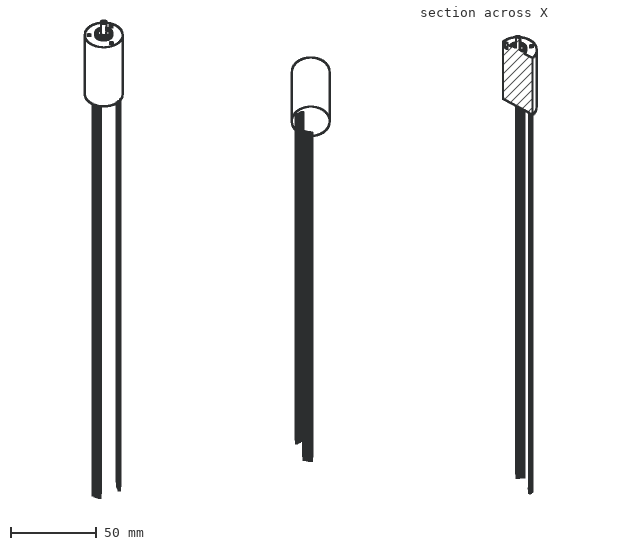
import cadquery as cq
import math

total_length = 357.5
body_diameter = 22.0
body_length = 45.5
shaft_diameter = 3.2
shaft_chamfer = 0.5
shaft_reach = 10.0

pilot_diameter = 10.0
pilot_height = 1.8
pilot_chamfer = 0.5
pilot_recess_diameter = 7.0
pilot_recess_depth = 0.7

hole_count = 3
hole_diameter = 1.8
hole_depth = 3.5
hole_circle_radius = 8.5
first_hole_angle = 90.0

wire_length = total_length - body_length - shaft_reach
wire_overlap = 0.07
bare_length = 3.5
bare_ratio = 0.75

row_radius = 8.5
front_wire_count = 5
front_wire_diameter = 1.15
front_row_angle = -90.0
front_row_direction = 0.0
side_wire_count = 5
side_wire_diameter = 1.0
side_row_angle = 28.0
side_row_direction = 135.0


def cylinder_up(diameter, base_z, height):
    return cq.Workplane("XY").workplane(offset=base_z).circle(diameter / 2).extrude(height)


def make_motor():
    body = cylinder_up(body_diameter, 0, body_length)
    pilot = cylinder_up(pilot_diameter, body_length, pilot_height).faces(">Z").chamfer(pilot_chamfer)
    recess_floor = body_length + pilot_height - pilot_recess_depth
    recess = cylinder_up(pilot_recess_diameter, recess_floor, pilot_recess_depth)
    shaft = cylinder_up(shaft_diameter, body_length, shaft_reach).faces(">Z").chamfer(shaft_chamfer)
    return body.union(pilot.cut(recess)).union(shaft)


def make_mounting_holes():
    return (
        cq.Workplane("XY")
        .workplane(offset=body_length - hole_depth)
        .polarArray(hole_circle_radius, first_hole_angle, 360, hole_count)
        .circle(hole_diameter / 2)
        .extrude(hole_depth)
    )


def make_wire(diameter):
    insulated_length = wire_length - bare_length
    insulation = cylinder_up(diameter, -insulated_length, insulated_length)
    conductor = cylinder_up(bare_ratio * diameter, -wire_length, bare_length)
    return insulation.union(conductor)


def make_wire_row(count, diameter, row_angle, row_direction):
    """Flat row of wires centred at row_angle around the axis, running along row_direction."""
    center_x = row_radius * math.cos(math.radians(row_angle))
    center_y = row_radius * math.sin(math.radians(row_angle))
    pitch = diameter - wire_overlap
    row = cq.Workplane("XY")
    for index in range(count):
        offset = (index - (count - 1) / 2) * pitch
        row = row.union(make_wire(diameter).translate((offset, 0, 0)))
    return row.rotate((0, 0, 0), (0, 0, 1), row_direction).translate((center_x, center_y, 0))


front_row = make_wire_row(front_wire_count, front_wire_diameter, front_row_angle, front_row_direction)
side_row = make_wire_row(side_wire_count, side_wire_diameter, side_row_angle, side_row_direction)

result = make_motor().cut(make_mounting_holes()).union(front_row).union(side_row)